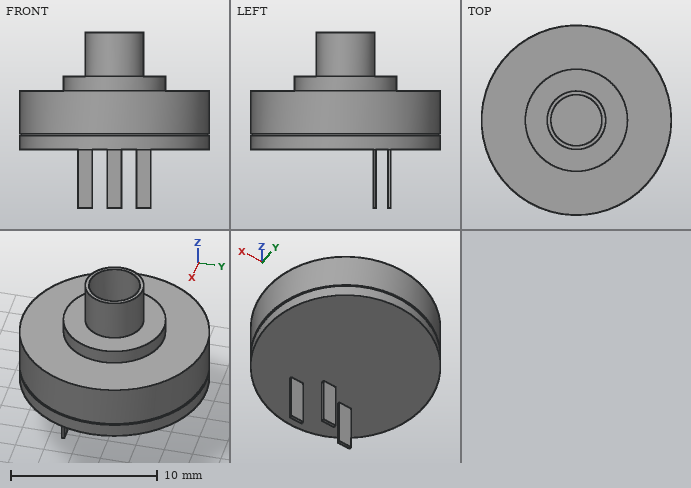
import cadquery as cq

body_diameter = 13.0
base_height = 0.95
groove_height = 0.12
groove_depth = 0.1
body_height = 4.0

flange_diameter = 7.0
flange_height = 1.0
tube_diameter = 4.0
tube_bore_diameter = 3.5
tube_height = 3.0

pin_width = 1.0
pin_thickness = 0.2
pin_length = 4.0
pin_pitch = 2 * pin_width
outer_pin_y = -3.0
middle_pin_y = outer_pin_y + pin_width
pin_centers = [
    (-pin_pitch, outer_pin_y),
    (0, middle_pin_y),
    (pin_pitch, outer_pin_y),
]

flange_top = body_height + flange_height


def disc(diameter, bottom, height):
    """Solid cylinder on the Z axis, starting at the given height."""
    return cq.Workplane("XY").workplane(offset=bottom).circle(diameter / 2).extrude(height)


def housing():
    """Main disc with a narrow groove separating the base from the cover."""
    groove_diameter = body_diameter - 2 * groove_depth
    ring = disc(body_diameter, base_height, groove_height)
    groove = ring.cut(disc(groove_diameter, base_height, groove_height))
    return disc(body_diameter, 0, body_height).cut(groove)


def tube():
    """Tube whose bore ends at the flange surface."""
    bore = disc(tube_bore_diameter, flange_top, tube_height)
    return disc(tube_diameter, flange_top, tube_height).cut(bore)


def pins():
    """Terminals hanging from the underside of the housing."""
    return cq.Workplane("XY").pushPoints(pin_centers).rect(pin_width, pin_thickness).extrude(-pin_length)


flange = disc(flange_diameter, body_height, flange_height)
result = housing().union(flange).union(tube()).union(pins())